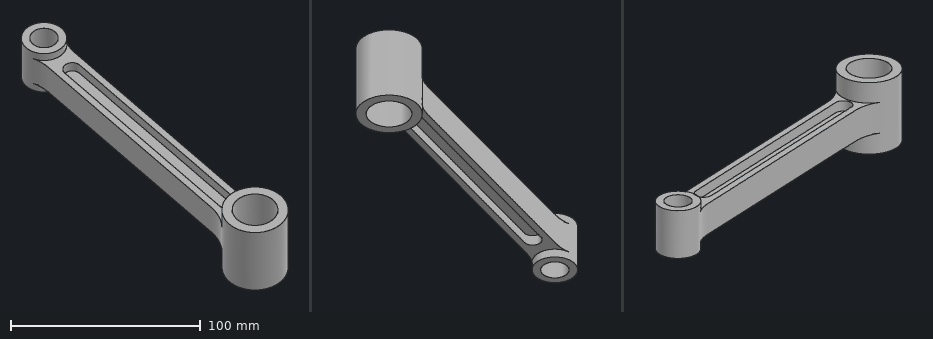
import cadquery as cq
import math

overall_length = 207.5
big_diameter = 35.0
big_bore = 24.0
big_height = 42.0
small_diameter = 24.0
small_bore = 15.0
small_height = 28.0
arm_width = 18.0
arm_thickness = 18.0
blend_radius = 25.0
pocket_width = 10.0
pocket_depth = 6.0
pocket_end_gap = 18.9

big_x = overall_length - (big_diameter + small_diameter) / 2


def cylinder(x, diameter, height):
    return cq.Workplane("XY").center(x, 0).circle(diameter / 2).extrude(height / 2, both=True)


def blended_end(boss_x, boss_diameter, direction):
    """Flare between the arm and a boss, with concave sides tangent to both.

    direction is the X sign pointing from the boss axis into the arm.
    """
    boss_radius = boss_diameter / 2
    blend_y = arm_width / 2 + blend_radius
    center_distance = boss_radius + blend_radius
    blend_dx = math.sqrt(center_distance**2 - blend_y**2)
    blend_x = boss_x + direction * blend_dx

    touch_x = boss_x + direction * blend_dx * boss_radius / center_distance
    touch_y = blend_y * boss_radius / center_distance
    half_angle = math.atan2(blend_dx, blend_y) / 2
    middle_x = blend_x - direction * blend_radius * math.sin(half_angle)
    middle_y = blend_y - blend_radius * math.cos(half_angle)

    return (
        cq.Workplane("XY")
        .moveTo(boss_x, 0)
        .lineTo(touch_x, touch_y)
        .threePointArc((middle_x, middle_y), (blend_x, arm_width / 2))
        .lineTo(blend_x, -arm_width / 2)
        .threePointArc((middle_x, -middle_y), (touch_x, -touch_y))
        .close()
        .extrude(arm_thickness / 2, both=True)
    )


def pocket(side):
    """Round-ended pocket in the upper (side = 1) or lower (side = -1) arm face."""
    floor_z = arm_thickness / 2 - pocket_depth
    return (
        cq.Workplane("XY", origin=(big_x / 2, 0, side * floor_z))
        .slot2D(big_x - 2 * pocket_end_gap, pocket_width)
        .extrude(side * pocket_depth)
    )


arm = cq.Workplane("XY").box(big_x, arm_width, arm_thickness).translate((big_x / 2, 0, 0))
arm = arm.union(blended_end(0, small_diameter, 1))
arm = arm.union(blended_end(big_x, big_diameter, -1))
for side in (1, -1):
    arm = arm.cut(pocket(side))

rod = arm.union(cylinder(0, small_diameter, small_height))
rod = rod.union(cylinder(big_x, big_diameter, big_height))
rod = rod.cut(cylinder(0, small_bore, small_height))
result = rod.cut(cylinder(big_x, big_bore, big_height))